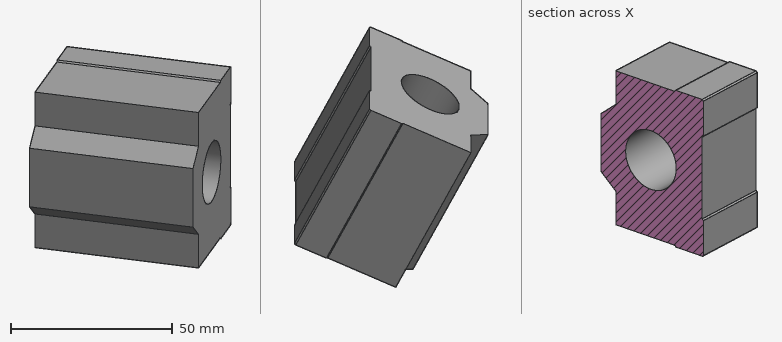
import cadquery as cq

length = 53.0
depth = 41.0
height = 54.0

bore_diameter = 20.0
front_y = -20.0
back_y = front_y + depth

nose_projection = 5.95
nose_tip_height = 20.0
nose_root_height = 30.0

pad_step = 0.5
pad_depth = 11.55
pad_height = 12.5
edge_chamfer = 0.5

body_front_y = front_y + nose_projection
pad_front_y = back_y - pad_depth
pad_top_z = height / 2
body_top_z = pad_top_z - pad_step
pad_inner_z = pad_top_z - pad_height

upper_profile = [
    (front_y, nose_tip_height / 2),
    (body_front_y, nose_root_height / 2),
    (body_front_y, body_top_z),
    (pad_front_y, body_top_z),
    (pad_front_y + pad_step, pad_top_z),
    (back_y - edge_chamfer, pad_top_z),
    (back_y, pad_top_z - edge_chamfer),
    (back_y, pad_inner_z),
    (back_y - pad_step, pad_inner_z - pad_step),
]
lower_profile = [(y, -z) for y, z in reversed(upper_profile)]

result = (
    cq.Workplane("YZ")
    .circle(bore_diameter / 2)
    .polyline(upper_profile + lower_profile)
    .close()
    .extrude(length / 2, both=True)
)